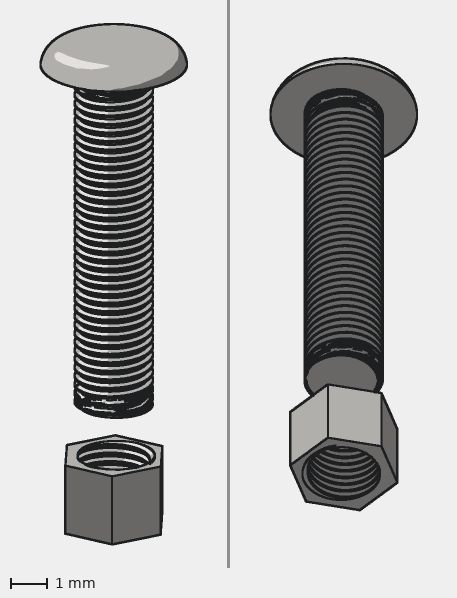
import cadquery as cq
shank_length = 10.0
shank_turns = 40
pitch = shank_length / shank_turns
outer_flat = pitch / 8
inner_flat = pitch / 4
root_overlap = 0.01

nut_corner_diameter = 3.0
nut_height = 2.0
nut_minor_radius = 1.97 / 2
nut_major_radius = 2.25 / 2

nut_gap = 1.5
total_height = 14.1
shank_bottom = nut_height + nut_gap
head_bottom = shank_bottom + shank_length
head_radius = 4.0 / 2
head_flat_radius = 1.31
bolt_minor_radius = 1.86 / 2
bolt_major_radius = 2.15 / 2


def threaded_rod(minor_radius, major_radius, bottom, length):
    """Rod with flat ends and a right-handed thread, its crest on the +Y side at the lower end."""
    run_length = length + 2 * pitch
    core = cq.Workplane("XY").workplane(offset=-pitch).circle(minor_radius).extrude(run_length)

    root_half = (pitch - inner_flat) / 2
    crest_half = outer_flat / 2
    slope = (root_half - crest_half) / (major_radius - minor_radius)
    buried_half = root_half + root_overlap * slope
    buried_radius = minor_radius - root_overlap
    helix = cq.Wire.makeHelix(pitch, run_length, minor_radius)
    ridge = (
        cq.Workplane("XZ")
        .polyline([
            (buried_radius, -buried_half),
            (major_radius, -crest_half),
            (major_radius, crest_half),
            (buried_radius, buried_half),
        ])
        .close()
        .sweep(cq.Workplane(obj=helix), isFrenet=True)
        .rotate((0, 0, 0), (0, 0, 1), 90)
        .translate((0, 0, -pitch))
    )

    trim = cq.Workplane("XY").circle(2 * major_radius).extrude(length)
    rod = core.union(ridge, clean=False).intersect(trim, clean=False)
    return rod.translate((0, 0, bottom))


def make_bolt():
    shank = threaded_rod(bolt_minor_radius, bolt_major_radius, shank_bottom, shank_length)
    head = (
        cq.Workplane("XZ")
        .moveTo(0, total_height)
        .lineTo(head_flat_radius, total_height)
        .tangentArcPoint((head_radius, head_bottom), relative=False)
        .lineTo(0, head_bottom)
        .close()
        .revolve(360, (0, 0, 0), (0, 1, 0))
    )
    return shank.union(head, clean=False)


def make_nut():
    body = (
        cq.Workplane("XY")
        .polygon(6, nut_corner_diameter)
        .extrude(nut_height)
        .rotate((0, 0, 0), (0, 0, 1), 90)
    )
    threaded_hole = threaded_rod(nut_minor_radius, nut_major_radius, 0, nut_height)
    return body.cut(threaded_hole)


bolt = make_bolt()
nut = make_nut()
result = cq.Compound.makeCompound([*bolt.vals(), *nut.vals()])